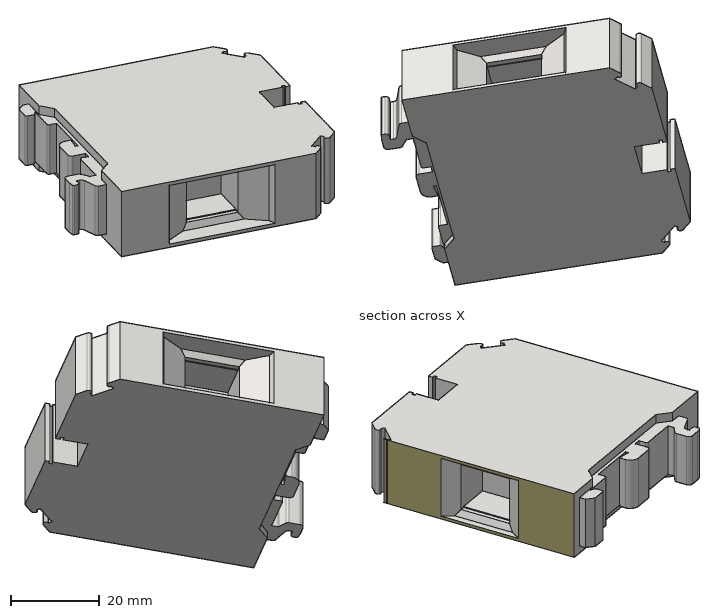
import cadquery as cq
import math


width = 58.0
depth = 55.9
thickness = 16.51
half_width = width / 2
half_thickness = thickness / 2
corner_chamfer = 8.1

marker_half_opening = 2.05
marker_half_width = 2.72
marker_lip = 1.35
marker_depth = 2.25
lip_inner_radius = 0.5
lip_outer_radius = 0.8

slot_half_width = 4.2
slot_depth = 7.6
notch_top = 1.1
notch_height = 0.7
notch_depth = 0.7

relief_half_width = 17.65
relief_height = 2.7

funnel_mouth = (0.0, 11.75, 37.75, 7.4)
funnel_bevel_end = (1.7, 12.35, 37.0, 7.4)
funnel_throat = (5.5, 18.3, 31.0, 5.8)
floor_slope_start = 0.8
throat_end = 6.6
clamp_half_height = 5.55
clamp_end = 15.0

foot_bottom = -6.45
foot_thickness = 12.5
foot_reach = 7.35
pad_y = -0.3
recess_y = 1.85
foot_overlap = 1.0
foot_root = relief_height + foot_overlap

hook_left = -23.4
hook_right = -18.0
hook_bottom = -3.1
hook_chamfer = 1.6
hook_nose_y = -1.0
left_pad_start = -19.1
left_pad_end = -12.0

lug_left = -3.05
lug_right = 4.4
lug_bottom = -2.1
lug_slit_end = 0.1
lug_slit_end_y = 1.15
lug_slit_mouth_y = 1.6
right_pad_start = 6.0
right_pad_end = 15.25

spring_left = 13.15
spring_right = 20.45
spring_throat = 16.05
spring_flat_end = 16.4
spring_toe = 17.95
spring_toe_top = -5.4


def rounded_outline(corners):
    """Closed wire through (x, y, radius) corners, each rounded by a tangent arc when radius > 0."""
    pieces = []
    count = len(corners)
    for index, (x, y, radius) in enumerate(corners):
        corner = cq.Vector(x, y)
        before = cq.Vector(*corners[index - 1][:2])
        after = cq.Vector(*corners[(index + 1) % count][:2])
        to_before = (before - corner).normalized()
        to_after = (after - corner).normalized()
        if radius == 0:
            pieces.append((corner, None, corner))
            continue
        half_angle = to_before.getAngle(to_after) / 2
        setback = radius / math.tan(half_angle)
        bisector = (to_before + to_after).normalized()
        middle = corner + bisector * (radius / math.sin(half_angle) - radius)
        pieces.append((corner + to_before * setback, middle, corner + to_after * setback))

    outline = cq.Workplane("XY").moveTo(pieces[-1][2].x, pieces[-1][2].y)
    for start, middle, end in pieces:
        outline = outline.lineTo(start.x, start.y)
        if middle is not None:
            outline = outline.threePointArc(middle.toTuple()[:2], end.toTuple()[:2])
    return outline.close()


def mirrored_pair(shape):
    """The shape together with its mirror image on the other side of the housing."""
    return shape.union(shape.mirror("YZ"))


def full_thickness_prism(corners):
    return rounded_outline(corners).extrude(thickness).translate((0, 0, -half_thickness))


def housing_body():
    shoulder_x = half_width - corner_chamfer
    shoulder_y = depth - corner_chamfer
    return full_thickness_prism([
        (-half_width, 0, 0),
        (half_width, 0, 0),
        (half_width, shoulder_y, 0),
        (shoulder_x, depth, 0),
        (-shoulder_x, depth, 0),
        (-half_width, shoulder_y, 0),
    ])


def marker_grooves():
    """Undercut grooves, drawn with the chamfer along X and turned onto the left corner."""
    mouth_y = 1.0
    mouth_half_width = marker_half_opening + 2 * lip_outer_radius
    right_side = [
        (marker_half_width, -marker_depth, 0),
        (marker_half_width, -marker_lip, 0),
        (marker_half_opening, -marker_lip, lip_inner_radius),
        (marker_half_opening, 0, lip_outer_radius),
        (mouth_half_width, 0, 0),
        (mouth_half_width, mouth_y, 0),
    ]
    left_side = [(-x, y, radius) for x, y, radius in reversed(right_side)]
    groove = full_thickness_prism(right_side + left_side)
    groove = groove.rotate((0, 0, 0), (0, 0, 1), 45)
    half_chamfer = corner_chamfer / 2
    return mirrored_pair(groove.translate((half_chamfer - half_width, depth - half_chamfer, 0)))


def back_slot():
    slot_width = 2 * slot_half_width
    notch_width = slot_width + 2 * notch_depth
    slot = cq.Workplane("XY").box(slot_width, slot_depth, thickness)
    notch = cq.Workplane("XY").box(notch_width, notch_height, thickness)
    slot = slot.translate((0, depth - slot_depth / 2, 0))
    return slot.union(notch.translate((0, depth - notch_top - notch_height / 2, 0)))


def front_relief():
    inner_half_width = relief_half_width - relief_height
    return full_thickness_prism([
        (-relief_half_width, 0, 0),
        (relief_half_width, 0, 0),
        (inner_half_width, relief_height, 0),
        (-inner_half_width, relief_height, 0),
    ])


def funnel_stage(start, end):
    """Straight-sided frustum between two rectangular sections parallel to the side face."""
    stage = cq.Workplane("YZ", origin=(start[0] - half_width, 0, 0))
    for section, step in ((start, 0), (end, end[0] - start[0])):
        low_y, high_y, half_height = section[1:]
        if step:
            stage = stage.workplane(offset=step)
        stage = stage.moveTo(low_y, -half_height)
        stage = stage.lineTo(high_y, -half_height).lineTo(high_y, half_height)
        stage = stage.lineTo(low_y, half_height).close()
    return stage.loft(ruled=True)


def wire_funnels():
    low_y, high_y, throat_half_height = funnel_throat[1:]
    slope_start = tuple(
        outer + (inner - outer) * floor_slope_start
        for outer, inner in zip(funnel_bevel_end[:3], funnel_throat[:3])
    ) + funnel_bevel_end[3:]
    clamp_start = (throat_end, low_y, high_y, clamp_half_height)
    stages = [
        (funnel_mouth, funnel_bevel_end),
        (funnel_bevel_end, slope_start),
        (slope_start, funnel_throat),
        (funnel_throat, (throat_end, low_y, high_y, throat_half_height)),
        (clamp_start, (clamp_end, low_y, high_y, clamp_half_height)),
    ]
    funnel = funnel_stage(*stages[0])
    for start, end in stages[1:]:
        funnel = funnel.union(funnel_stage(start, end))
    return mirrored_pair(funnel)


def rail_foot():
    """Constant section along Z, listed from the fixed hook on the left to the spring hook."""
    fixed_hook = [
        (hook_left, foot_root, 0),
        (hook_left, hook_bottom + hook_chamfer, 0),
        (hook_left + hook_chamfer, hook_bottom, 0),
        (hook_right, hook_bottom, 0.4),
        (hook_right, hook_nose_y, 0.2),
        (left_pad_start, pad_y, 0),
    ]
    left_pad = [
        (left_pad_end, pad_y, 0.5),
        (left_pad_end, recess_y, 0),
    ]
    middle_lug = [
        (lug_slit_end, recess_y, 0),
        (lug_slit_end, lug_slit_end_y, 0),
        (lug_left, lug_slit_mouth_y, 0),
        (lug_left, lug_bottom, 2.2),
        (lug_right, lug_bottom, 0.9),
        (lug_right, recess_y, 0),
    ]
    right_pad = [
        (right_pad_start, recess_y, 0),
        (right_pad_start, pad_y, 0.5),
        (right_pad_end, pad_y, 0),
    ]
    spring_hook = [
        (right_pad_end, -1.9, 0.3),
        (spring_left, -3.35, 0.8),
        (spring_left, -foot_reach, 1.0),
        (spring_flat_end, -foot_reach, 0),
        (spring_toe, -7.1, 0.4),
        (spring_toe, spring_toe_top, 0.8),
        (spring_throat, spring_toe_top, 0),
        (spring_throat, -4.0, 1.0),
        (spring_right, -2.4, 0.7),
        (spring_right, foot_root, 0),
    ]
    outline = rounded_outline(fixed_hook + left_pad + middle_lug + right_pad + spring_hook)
    return outline.extrude(foot_thickness).translate((0, 0, foot_bottom))


housing = housing_body()
housing = housing.cut(marker_grooves())
housing = housing.cut(back_slot())
housing = housing.cut(front_relief())
housing = housing.cut(wire_funnels())
result = housing.union(rail_foot())